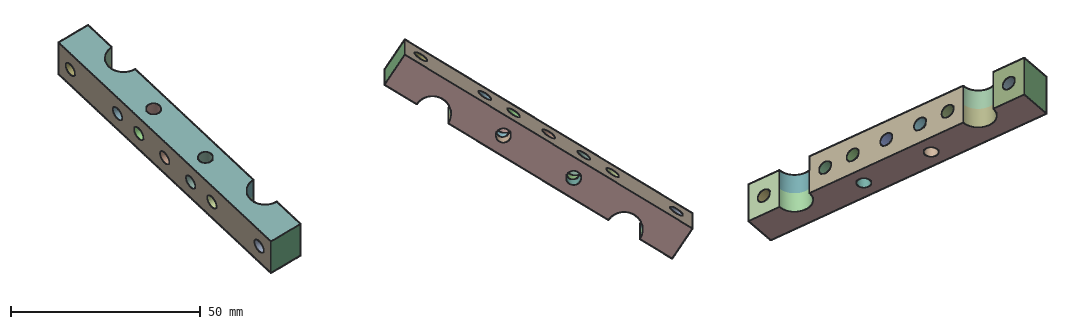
import cadquery as cq

length = 90.0
depth = 10.0
height = 12.5

hole_diameter = 4.0
end_hole_offset = 40.0
outer_hole_offset = 20.0
inner_hole_offset = 11.0

notch_diameter = 9.8
notch_offset = 30.0


def mirrored_points(*offsets):
    """Pairs of points at plus and minus each X offset."""
    return [(side * offset, 0) for offset in offsets for side in (-1, 1)]


bar = cq.Workplane("XY").box(length, depth, height)

cross_holes = (
    cq.Workplane("XZ")
    .pushPoints([(0, 0)] + mirrored_points(end_hole_offset, outer_hole_offset, inner_hole_offset))
    .circle(hole_diameter / 2)
    .extrude(depth, both=True)
)

vertical_holes = (
    cq.Workplane("XY")
    .pushPoints(mirrored_points(inner_hole_offset))
    .circle(hole_diameter / 2)
    .extrude(height, both=True)
)

notches = (
    cq.Workplane("XY", origin=(0, depth / 2, 0))
    .pushPoints(mirrored_points(notch_offset))
    .circle(notch_diameter / 2)
    .extrude(height, both=True)
)

result = bar.cut(cross_holes).cut(vertical_holes).cut(notches)